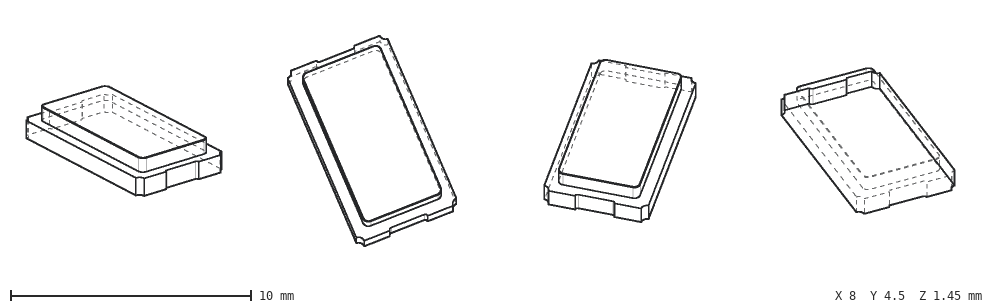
import cadquery as cq

base_length = 8.0
base_width = 4.5
base_height = 0.8
corner_notch_radius = 0.25

recess_width = 1.7
recess_depth = 0.1

total_height = 1.45
lid_height = total_height - base_height
lid_length = 7.0
lid_width = 3.5
lid_corner_radius = 0.25
lid_edge_chamfer = 0.02


def make_corner_notches():
    """Round cutters centred on the four vertical corners of the base."""
    return (
        cq.Workplane("XY")
        .rect(base_length, base_width, forConstruction=True)
        .vertices()
        .circle(corner_notch_radius)
        .extrude(base_height)
    )


def make_end_recesses():
    """Cutters for both end recesses, straight slots with full-round ends, centred on the end faces."""
    return (
        cq.Workplane("XY")
        .pushPoints([(-base_length / 2, 0), (base_length / 2, 0)])
        .slot2D(recess_width, 2 * recess_depth, angle=90)
        .extrude(base_height)
    )


def make_lid():
    """Rounded rectangular lid with a lightly broken top edge."""
    return (
        cq.Workplane("XY")
        .workplane(offset=base_height)
        .rect(lid_length, lid_width)
        .extrude(lid_height)
        .edges("|Z")
        .fillet(lid_corner_radius)
        .faces(">Z")
        .chamfer(lid_edge_chamfer)
    )


base = cq.Workplane("XY").rect(base_length, base_width).extrude(base_height)
base = base.cut(make_corner_notches()).cut(make_end_recesses())
result = base.union(make_lid())